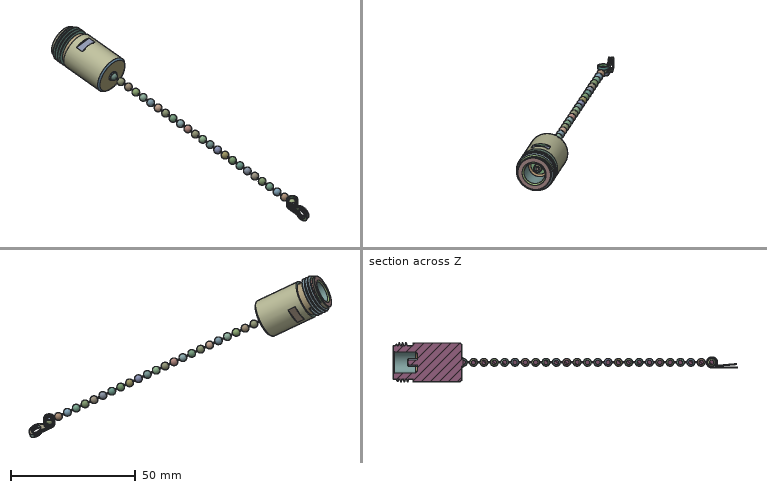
import cadquery as cq
import math


cap_length = 27.6
barrel_radius = 7.9
barrel_start = 8.0
barrel_chamfer = 0.7
flat_start = 11.0
flat_end = 14.25
flat_half_span = 7.0
nose_radius = 6.88
nose_chamfer = 0.2
bore_radius = 4.3
bore_mouth_radius = 4.95
bore_mouth_depth = 0.5
bore_floor_radius = 3.5
bore_taper_start = 9.0
bore_depth = 9.8
contact_radius = 1.65
contact_tip_radius = 1.2
contact_hole_radius = 0.6
contact_hole_depth = 3.0
contact_length = 4.0
contact_chamfer = contact_radius - contact_tip_radius
boss_radius = 2.0
boss_length = 0.6

thread_pitch = 1.35
thread_turns = 4
thread_start = 0.8
thread_lead_start = 0.9
thread_lead_end = 2.1
thread_root_width = 1.0
thread_crest_width = 0.2
thread_sink = 0.1

bead_radius = 1.6
bead_pitch = 4.158
bead_interval_count = 24
link_radius = 0.3
chain_start = cap_length + boss_length
chain_end = chain_start + bead_interval_count * bead_pitch

clip_end = 138.4
strip_thickness = 0.42
strip_width = 3.8
slot_width = 1.25
curl_radius = 2.25
curl_x = chain_end + 0.2
curl_y = -0.05
curl_start_angle = 270.0
curl_end_angle = -46.0
ring_radius = 3.125
ring_hole_radius = 2.1
upper_leg_tilt = 5.0
upper_ring_setback = 0.35


def make_thread():
    """Trapezoidal right-hand ridge, rooted slightly inside the nose and tapered at its lead-in."""
    sink_radius = nose_radius - thread_sink
    helix = cq.Wire.makeHelix(thread_pitch, thread_pitch * thread_turns, sink_radius)
    ridge = (
        cq.Workplane("XZ")
        .polyline([
            (sink_radius, -thread_root_width / 2),
            (sink_radius, thread_root_width / 2),
            (barrel_radius, thread_crest_width / 2),
            (barrel_radius, -thread_crest_width / 2),
        ])
        .close()
        .sweep(cq.Workplane(helix), isFrenet=True)
    )
    ridge = ridge.rotate((0, 0, 0), (0, 1, 0), 90).translate((thread_start, 0, 0))
    outside_radius = 2 * barrel_radius
    lead_in = (
        cq.Workplane("XY")
        .polyline([
            (-thread_root_width, nose_radius),
            (thread_lead_start, nose_radius),
            (thread_lead_end, barrel_radius),
            (thread_lead_end, outside_radius),
            (-thread_root_width, outside_radius),
        ])
        .close()
        .revolve(360, (0, 0, 0), (1, 0, 0))
    )
    return ridge.cut(lead_in)


def make_flat_cutter(side):
    """Block that leaves a wrench flat on the +Z (side 1) or -Z (side -1) face of the barrel."""
    return (
        cq.Workplane("XY")
        .box(flat_end - flat_start, 2 * barrel_radius, barrel_radius, centered=(False, True, True))
        .translate((flat_start, 0, side * (flat_half_span + barrel_radius / 2)))
    )


def make_cap():
    """Turned cap with its bore, contact and chain boss, then the thread and wrench flats."""
    contact_tip = bore_depth - contact_length
    profile = [
        (contact_tip + contact_hole_depth, 0),
        (contact_tip + contact_hole_depth, contact_hole_radius),
        (contact_tip, contact_hole_radius),
        (contact_tip, contact_tip_radius),
        (contact_tip + contact_chamfer, contact_radius),
        (bore_depth, contact_radius),
        (bore_depth, bore_floor_radius),
        (bore_taper_start, bore_radius),
        (bore_mouth_depth, bore_radius),
        (0, bore_mouth_radius),
        (0, nose_radius - nose_chamfer),
        (nose_chamfer, nose_radius),
        (barrel_start, nose_radius),
        (barrel_start, barrel_radius),
        (cap_length - barrel_chamfer, barrel_radius),
        (cap_length, barrel_radius - barrel_chamfer),
        (cap_length, boss_radius),
        (chain_start, boss_radius),
        (chain_start, 0),
    ]
    turned = (
        cq.Workplane("XY")
        .polyline([(x, -radius) for x, radius in profile])
        .close()
        .revolve(360, (0, 0, 0), (1, 0, 0))
    )
    cap = turned.union(make_thread())
    for side in (-1, 1):
        cap = cap.cut(make_flat_cutter(side))
    return cap


def make_chain():
    """Beads on a wire; the first bead is a half bead seated on the cap boss."""
    chain = (
        cq.Workplane("YZ", origin=(chain_start, 0, 0))
        .circle(link_radius)
        .extrude(chain_end - chain_start)
    )
    for index in range(bead_interval_count + 1):
        bead_x = chain_start + index * bead_pitch
        bead = cq.Workplane("XY").sphere(bead_radius).translate((bead_x, 0, 0))
        chain = chain.union(bead)
    behind_seat = (
        cq.Workplane("YZ", origin=(chain_start, 0, 0))
        .rect(4 * bead_radius, 4 * bead_radius)
        .extrude(-2 * bead_radius)
    )
    return chain.cut(behind_seat)


def make_leg(length):
    """Flat leg along +X with a ring at its end, strip thickness rising from Y = 0."""
    strip = cq.Workplane("XZ").center(length / 2, 0).rect(length, strip_width).extrude(-strip_thickness)
    ring = cq.Workplane("XZ").center(length, 0).circle(ring_radius).extrude(-strip_thickness)
    hole = cq.Workplane("XZ").center(length, 0).circle(ring_hole_radius).extrude(-strip_thickness)
    return strip.union(ring).cut(hole)


def curl_point(radius, angle):
    """Point on a circle about the curl centre, at an angle in degrees from +X."""
    turn = math.radians(angle)
    return (curl_x + radius * math.cos(turn), curl_y + radius * math.sin(turn))


def make_curl():
    inner_radius = curl_radius - strip_thickness
    middle_angle = (curl_start_angle + curl_end_angle) / 2
    return (
        cq.Workplane("XY", origin=(0, 0, -strip_width / 2))
        .moveTo(*curl_point(curl_radius, curl_start_angle))
        .threePointArc(curl_point(curl_radius, middle_angle), curl_point(curl_radius, curl_end_angle))
        .lineTo(*curl_point(inner_radius, curl_end_angle))
        .threePointArc(curl_point(inner_radius, middle_angle), curl_point(inner_radius, curl_start_angle))
        .close()
        .extrude(strip_width)
    )


def make_clip():
    """Curl with two ringed legs, the upper one springing away from the lower."""
    lower_ring_x = clip_end - ring_radius
    lower_length = lower_ring_x - curl_x
    lower_leg = make_leg(lower_length)
    lower_slot = (
        cq.Workplane("XY")
        .box(lower_length, 4 * strip_thickness, slot_width, centered=(False, True, True))
    )
    lower_leg = lower_leg.cut(lower_slot).translate((curl_x, curl_y - curl_radius, 0))
    curl_slot = (
        cq.Workplane("XY")
        .box(4 * curl_radius, 4 * curl_radius, slot_width)
        .translate((curl_x, curl_y, 0))
    )
    curl = make_curl().cut(curl_slot)

    upper_x, upper_y = curl_point(curl_radius, curl_end_angle)
    upper_x -= strip_thickness
    upper_leg = (
        make_leg(lower_ring_x - upper_ring_setback - upper_x)
        .rotate((0, 0, 0), (0, 0, 1), upper_leg_tilt)
        .translate((upper_x, upper_y, 0))
    )
    return curl.union(lower_leg).union(upper_leg)


cap = make_cap()
chain = make_chain()
clip = make_clip()

result = cq.Compound.makeCompound([
    cap.solids().val(),
    chain.solids().val(),
    clip.solids().val(),
])